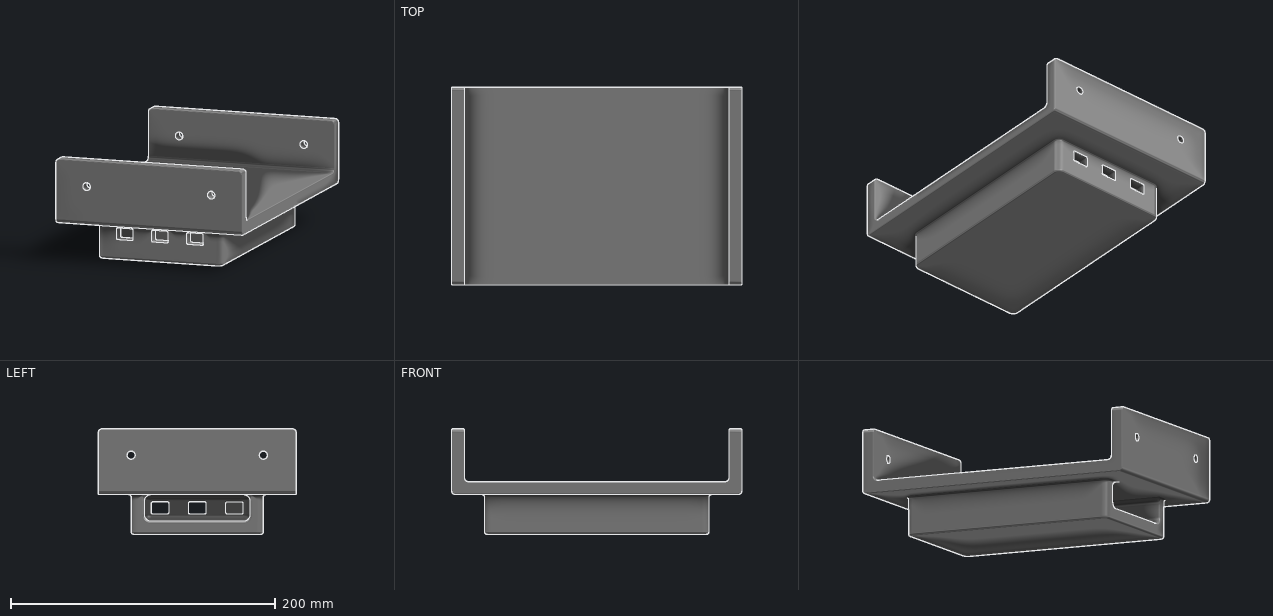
import cadquery as cq

tray_length = 220.0
tray_width = 150.0
tray_height = 50.0
tray_wall = 10.0
tray_corner_radius = 3.0
tray_edge_radius = 1.0

screw_hole_diameter = 6.0
screw_hole_pitch = 100.0
screw_hole_drop = 20.0

total_height = 80.0
housing_length = 170.0
housing_width = 100.0
housing_height = total_height - tray_height
housing_corner_radius = 5.0
housing_bottom_radius = 2.0
junction_radius = 2.0

pocket_width = 80.0
pocket_height = 20.0
pocket_radius = 5.0
mouth_radius = 2.0
end_wall = 10.0
mouth_x = -housing_length / 2
end_wall_x = housing_length / 2 - end_wall
pocket_mid_z = -pocket_height / 2

window_count = 3
window_pitch = 28.2
window_width = 13.2
window_height = 9.0
window_corner_radius = 1.0
window_edge_radius = 0.9
window_row_width = (window_count - 1) * window_pitch + window_width

overcut = 11.0

pick_margin = 0.2


def pick_box(center, size):
    """Selector for whatever lies wholly inside a box, widened a little on every side."""
    low = tuple(c - s / 2 - pick_margin for c, s in zip(center, size))
    high = tuple(c + s / 2 + pick_margin for c, s in zip(center, size))
    return cq.selectors.BoxSelector(low, high, boundingbox=True)


def make_tray():
    """U-shaped tray with rounded corners and softened edges all round."""
    outer = (
        cq.Workplane("XY")
        .box(tray_length, tray_width, tray_height, centered=(True, True, False))
        .edges("|Y and <Z")
        .fillet(tray_corner_radius)
        .edges("|X and >Z")
        .fillet(tray_corner_radius)
    )
    channel_length = tray_length - 2 * tray_wall
    channel = (
        cq.Workplane("XY", origin=(0, 0, tray_wall))
        .box(channel_length, tray_width + overcut, tray_height, centered=(True, True, False))
        .edges("|Y and <Z")
        .fillet(tray_corner_radius)
    )
    tray = outer.cut(channel)
    return tray.faces("<Y or >Y or <X or >X").edges().fillet(tray_edge_radius)


def make_housing():
    """Solid block below the tray, with rounded corners and bottom edge."""
    return (
        cq.Workplane("XY", origin=(0, 0, -housing_height))
        .box(housing_length, housing_width, housing_height, centered=(True, True, False))
        .edges("|Z")
        .fillet(housing_corner_radius)
        .faces("<Z")
        .edges()
        .fillet(housing_bottom_radius)
    )


def join_tray_and_housing():
    """Tray and housing fused, with a hollow fillet where they meet."""
    junction = pick_box((0, 0, 0), (housing_length, housing_width, 0))
    return make_tray().union(make_housing()).edges(junction).fillet(junction_radius)


def cut_pocket(body):
    """Cut the pocket with rounded inner edges, then round over its mouth."""
    length = end_wall_x - mouth_x + overcut
    pocket = (
        cq.Workplane("XY", origin=(end_wall_x - length / 2, 0, pocket_mid_z))
        .box(length, pocket_width, pocket_height)
        .edges("|X or >X")
        .fillet(pocket_radius)
    )
    mouth_height = pocket_height - junction_radius
    mouth_mid_z = -pocket_height + mouth_height / 2
    mouth = pick_box((mouth_x, 0, mouth_mid_z), (0, pocket_width, mouth_height))
    return body.cut(pocket).edges(mouth).fillet(mouth_radius)


def cut_windows(body):
    """Cut the row of windows and round their edges inside the pocket."""
    windows = (
        cq.Workplane("YZ", origin=(0, 0, pocket_mid_z))
        .rarray(window_pitch, 2.2, window_count, 1)
        .rect(window_width, window_height)
        .extrude(housing_length / 2 + overcut)
        .edges("|X")
        .fillet(window_corner_radius)
    )
    inner_rims = pick_box(
        (end_wall_x, 0, pocket_mid_z),
        (0, window_row_width, window_height),
    )
    return body.cut(windows).edges(inner_rims).fillet(window_edge_radius)


def cut_screw_holes(body):
    """Drill the pair of screw holes straight through both upright walls."""
    length = tray_length + 2 * overcut
    holes = (
        cq.Workplane("YZ", origin=(-length / 2, 0, tray_height - screw_hole_drop))
        .rarray(screw_hole_pitch, 2.2, 2, 1)
        .circle(screw_hole_diameter / 2)
        .extrude(length)
    )
    return body.cut(holes)


result = cut_screw_holes(cut_windows(cut_pocket(join_tray_and_housing())))